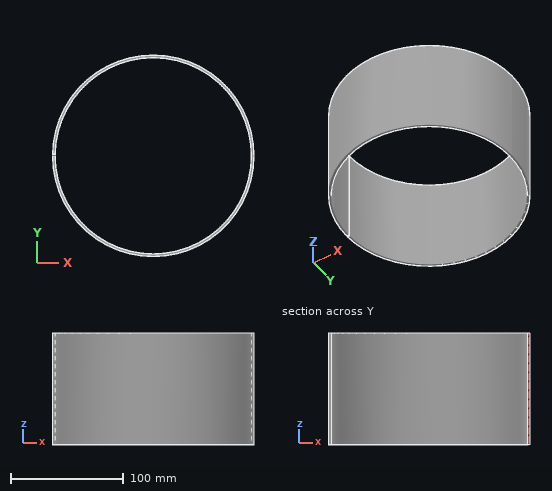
import cadquery as cq

outer_diameter = 180.0
wall_thickness = 2.5
height = 100.0
slit_width = 1.3
rim_radius = 0.5

outer_radius = outer_diameter / 2
inner_radius = outer_radius - wall_thickness

ring = (
    cq.Workplane("XY")
    .circle(outer_radius)
    .circle(inner_radius)
    .extrude(height)
    .edges("%CIRCLE")
    .fillet(rim_radius)
)

slit_depth = 2 * wall_thickness
slit = cq.Workplane("XY").box(slit_depth, slit_width, height, centered=(True, False, False))
slit = slit.translate((-(outer_radius + inner_radius) / 2, 0, 0))

result = ring.cut(slit)